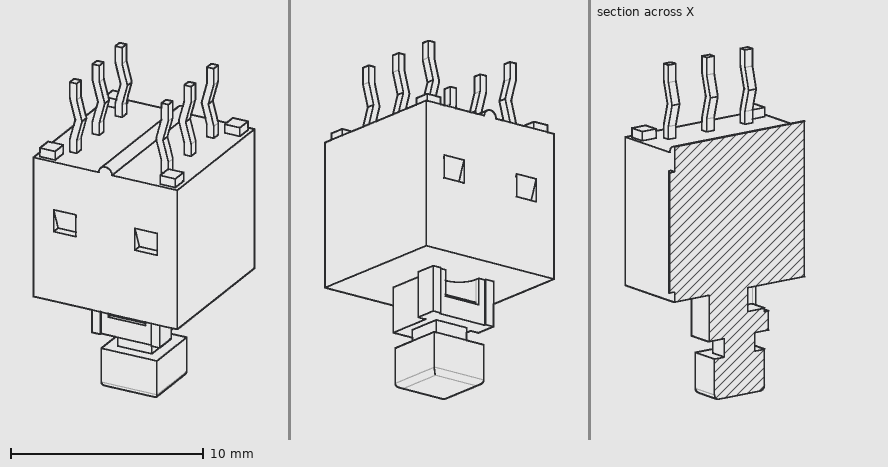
import cadquery as cq

overall_height = 17.7

housing_width = 8.5
housing_height = 8.0
half_width = housing_width / 2

window_width = 1.31
window_height = 1.25
window_depth = 0.5
window_outer_spacing = 6.1
window_floor_z = housing_height / 2

foot_size = 0.9
foot_height = 0.5
foot_edge_gap = 0.25

top_rib_radius = 0.39
back_rib_radius = 0.3
back_rib_length = 6.5
back_rib_bottom_z = 0.55

pin_width = 0.4
pin_thickness = 0.5
pin_length = 4.0
pin_kink = 0.32
pin_straight_root = 0.7
pin_kink_height = 1.9
pin_straight_tip = 3.08
pin_row_offset = 2.7
pin_pitch = 2.5

guide_size = 4.0
guide_height = 2.5
guide_core_width = 3.0
guide_core_setback = 0.1
guide_wing_depth = 1.27
neck_width = 2.0
neck_height = 0.97
cap_width = 3.3
cap_height = overall_height - pin_length - housing_height - guide_height - neck_height
cap_fillet = 0.3

recess_width = 2.2
recess_height = 1.45
recess_depth = 0.25
pocket_height = 1.25


def box(x_size, y_size, z_size, x, y, z):
    """Box centred on (x, y), with its lower face at z."""
    return cq.Workplane("XY").box(x_size, y_size, z_size, centered=(True, True, False)).translate((x, y, z))


def make_window(side):
    """Wedge whose roof slopes from the front edge down to the back of the floor."""
    center_x = side * (window_outer_spacing - window_width) / 2
    return (
        cq.Workplane("YZ", origin=(center_x, -half_width, window_floor_z))
        .polyline([(0, 0), (window_depth, 0), (0, window_height)])
        .close()
        .extrude(window_width / 2, both=True)
    )


def make_pin(side, y):
    """Flat pin with a kink, rising from the upper face; side is -1 or +1 in X."""
    center_line = [
        (pin_row_offset, 0),
        (pin_row_offset, pin_straight_root),
        (pin_row_offset - pin_kink, pin_kink_height),
        (pin_row_offset, pin_straight_tip),
        (pin_row_offset, pin_length),
    ]
    outer_edge = [(side * (x + pin_width / 2), z) for x, z in center_line]
    inner_edge = [(side * (x - pin_width / 2), z) for x, z in center_line]
    return (
        cq.Workplane("XZ", origin=(0, y, housing_height))
        .polyline(outer_edge + inner_edge[::-1])
        .close()
        .extrude(pin_thickness / 2, both=True)
    )


def make_housing():
    """Block with windows, ribs and feet."""
    housing = box(housing_width, housing_width, housing_height, 0, 0, 0)
    for side in (-1, 1):
        housing = housing.cut(make_window(side))

    top_rib = (
        cq.Workplane("XZ", origin=(0, half_width, housing_height))
        .circle(top_rib_radius)
        .extrude(housing_width)
    )
    back_rib = (
        cq.Workplane("XY", origin=(0, half_width, back_rib_bottom_z))
        .circle(back_rib_radius)
        .extrude(back_rib_length)
    )
    housing = housing.union(top_rib).union(back_rib)

    foot_offset = half_width - foot_edge_gap - foot_size / 2
    for x in (-foot_offset, foot_offset):
        for y in (-foot_offset, foot_offset):
            housing = housing.union(box(foot_size, foot_size, foot_height, x, y, housing_height))
    return housing


def make_guide():
    """Core with a recess in its front, between two wings that stand slightly proud of it."""
    front_y = -guide_size / 2
    core_front_y = front_y + guide_core_setback
    core_depth = guide_size - guide_core_setback
    core_center_y = core_front_y + core_depth / 2
    guide = box(guide_core_width, core_depth, guide_height, 0, core_center_y, -guide_height)

    wing_width = (guide_size - guide_core_width) / 2
    wing_offset = (guide_size - wing_width) / 2
    wing_center_y = front_y + guide_wing_depth / 2
    for x in (-wing_offset, wing_offset):
        guide = guide.union(box(wing_width, guide_wing_depth, guide_height, x, wing_center_y, -guide_height))

    recess_center_y = core_front_y + recess_depth / 2
    recess = box(recess_width, recess_depth, recess_height, 0, recess_center_y, -recess_height)
    pocket = (
        cq.Workplane("XY", origin=(0, core_front_y + recess_depth, -pocket_height))
        .circle(recess_width / 2)
        .extrude(pocket_height)
    )
    return guide.cut(recess).cut(pocket)


def make_plunger():
    """Guide, neck and round-edged cap."""
    neck_bottom_z = -guide_height - neck_height
    neck = box(neck_width, neck_width, neck_height, 0, 0, neck_bottom_z)
    cap = box(cap_width, cap_width, cap_height, 0, 0, neck_bottom_z - cap_height)
    cap = cap.faces("<Z").edges().fillet(cap_fillet)
    return make_guide().union(neck).union(cap)


result = make_housing().union(make_plunger())
for row_side in (-1, 1):
    for pin_y in (-pin_pitch, 0, pin_pitch):
        result = result.union(make_pin(row_side, pin_y))